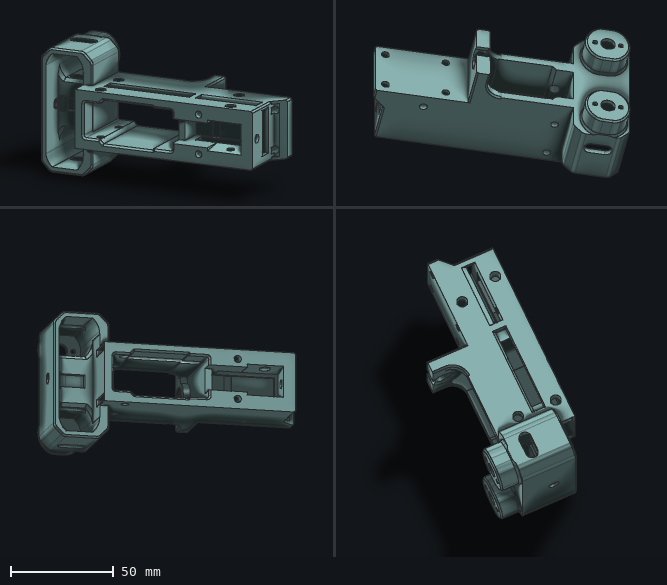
import cadquery as cq
import math

ARM_HALF_Z = 14.8
ARM_START_X = 23.1
ARM_END_X = 118.9
LENGTH = 124.8
HEAD_BACK_Y = 38.7
ARM_BACK_Y = 32.2
LIP_FRONT_Y = 27.3
LIP_ROOT_Y = LIP_FRONT_Y - (LENGTH - ARM_END_X)
EDGE_CHAMFER = 0.9

HOOK_LEFT_X = 72.0
HOOK_RIGHT_X = 78.7
HOOK_BACK_Y = 53.5
HOOK_FILLET = 8.2
HOOK_ROOT_X = HOOK_LEFT_X - HOOK_FILLET
HOOK_HOLE_Y = 47.7
HOOK_HOLE_R = 4.9
HOOK_HOLE_CHAMFER = 1.1
HOOK_MOUTH = 5.6
HOOK_UNDERSIDE_Y = 43.4
HOOK_SADDLE_Y = 44.9
HOOK_SADDLE_R = 7.2

HEAD_WIDTH = 28.0
HEAD_HEIGHT = 62.7
HEAD_FRONT_Y = 9.6
HEAD_CORNER = 5.0
HEAD_CORNER_R = 3.4
HEAD_FLOOR_Y = 23.2

KNOB_X = 12.8
KNOB_Z = 20.7
KNOB_R = 11.1
KNOB_HALF_Z = 10.4
KNOB_BLEND_R = 7.1
KNOB_BACK_Y = 49.4
KNOB_FOOT = 0.7
KNOB_FOOT_HEIGHT = 1.4
POCKET_R = 10.2
POCKET_HALF_X = 10.1
POCKET_HALF_Z = 7.9
POCKET_FLOOR_Y = 47.3
POCKET_BEVEL = 1.7
SHAFT_HOLE_R = 3.5
PIN_HOLE_R = 1.1
PIN_OFFSET = 6.4

RECESS_STEPS = [(3.4, 7.0, 4.0, 1.2), (7.0, 19.0, 3.2, 2.5)]

HEAD_SLOT_X = 13.8
HEAD_SLOT_Y = 29.2
HEAD_SLOT_LENGTH = 13.8
HEAD_SLOT_WIDTH = 6.1
SIDE_HOLE_Y = 21.8
SIDE_BORE_DEPTH = 2.5

WINDOW_LEFT_X = 27.7
WINDOW_STEP_X = (36.3, 38.3)
WINDOW_NARROW_X = 65.0
WINDOW_RIGHT_X = 75.5
WINDOW_END_HALF_Z = 9.0
WINDOW_HALF_Z = 11.0
WINDOW_NARROW_HALF_Z = 10.4
WINDOW_CORNER_R = 1.2
WINDOW_CHAMFER = 1.0

CHANNEL_RIGHT_X = 112.8
CHANNEL_HALF_Z = 6.2
CHANNEL_ROOF_Y = 20.0
CHANNEL_SHELF_X = 78.8
CHANNEL_SHELF_Y = 7.9
CROSS_GROOVE_X = 89.8
CROSS_GROOVE_WIDTH = 3.7
CROSS_GROOVE_DEPTH = 0.6
FLARE_LEFT_X = 94.5
FLARE = 1.5
CAVITY_BOTTOM_Z = -10.4
CAVITY_TOP_Z = 12.7

SLOT_FRONT_Y = 11.1
SLOT_BACK_Y = 18.2
WINDOW_SLOT_X = (33.5, 79.5)
WINDOW_SLOT_SLOPE = 1.7
CAVITY_SLOT_X = (82.8, 115.5)
CAVITY_SLOT_SLOPE = 2.6

SCREW_R = 1.9
CLEARANCE_R = 2.6
BLIND_HOLE_BOTTOM_Z = -11.2
FRONT_HOLE_R = 1.7
FRONT_HOLE_Z = 10.0
LIP_HOLE_X = 119.8
LIP_RECESS_X = 121.8
LIP_RECESS_HALF_Z = 13.3
FRONT_ROW_Y = 5.1
BACK_ROW_Y = 25.2
THROUGH_HOLES = [(34.5, FRONT_ROW_Y), (34.5, BACK_ROW_Y), (99.5, BACK_ROW_Y)]
BLIND_HOLE_X = 104.7
END_HOLE_R = 2.1

STRAP_Z = 12.5
STRAP_THICKNESS = 3.4
STRAP_DEPTH = 2.5
STRAP_FRONT_Y = 1.5
STRAP_BEND_Y = 4.6
STRAP_BACK_Y = 15.8

PICK_MARGIN = 0.1


def box(x0, x1, y0, y1, z0, z1):
    """Box between two opposite corners."""
    return cq.Workplane("XY").box(x1 - x0, y1 - y0, z1 - z0, centered=False).translate((x0, y0, z0))


def front_sketch(y):
    """Sketch plane at a given Y: local axes are X and Z, a negative extrusion runs toward +Y."""
    return cq.Workplane("XZ", origin=(0, y, 0))


def drill_z(x, y, bottom_z):
    """Screw hole along Z: clearance above Z = 0, tapped size from there down to bottom_z."""
    clearance = cq.Workplane("XY").center(x, y).circle(CLEARANCE_R).extrude(ARM_HALF_Z)
    tapped = cq.Workplane("XY").center(x, y).circle(SCREW_R).extrude(bottom_z)
    return clearance.union(tapped)


def flattened_round(y, radius, half_x, half_z, depth):
    """Disc about the Y axis with its sides trimmed, extruded toward +Y."""
    disc = front_sketch(y).circle(radius).extrude(-depth)
    return disc.intersect(box(-half_x, half_x, y, y + depth, -half_z, half_z))


def make_arm():
    """Arm block with its overhanging rear lip, chamfered at both +X ends."""
    profile = [
        (ARM_START_X, 0),
        (ARM_END_X, 0),
        (ARM_END_X, LIP_ROOT_Y),
        (LENGTH, LIP_FRONT_Y),
        (LENGTH, ARM_BACK_Y),
        (HOOK_ROOT_X, ARM_BACK_Y),
        (HOOK_ROOT_X, HEAD_BACK_Y),
        (ARM_START_X, HEAD_BACK_Y),
    ]
    arm = cq.Workplane("XY", origin=(0, 0, -ARM_HALF_Z)).polyline(profile).close().extrude(2 * ARM_HALF_Z)
    for end_x, y in ((ARM_END_X, LIP_ROOT_Y / 2), (LENGTH, (LIP_FRONT_Y + ARM_BACK_Y) / 2)):
        end_edges = cq.selectors.BoxSelector(
            (end_x - PICK_MARGIN, y - PICK_MARGIN, -LENGTH), (end_x + PICK_MARGIN, y + PICK_MARGIN, LENGTH)
        )
        arm = arm.edges("|Y").edges(end_edges).chamfer(EDGE_CHAMFER)
    return arm


def make_hook():
    """Hook with a concave root, chamfered along its upper and lower sides."""
    arc_mid = HOOK_FILLET * math.sqrt(0.5)
    root_y = HEAD_BACK_Y + HOOK_FILLET
    hook = (
        cq.Workplane("XY", origin=(0, 0, -ARM_HALF_Z))
        .moveTo(HOOK_ROOT_X, ARM_BACK_Y)
        .lineTo(HOOK_RIGHT_X, ARM_BACK_Y)
        .lineTo(HOOK_RIGHT_X, HOOK_BACK_Y)
        .lineTo(HOOK_LEFT_X, HOOK_BACK_Y)
        .lineTo(HOOK_LEFT_X, root_y)
        .threePointArc((HOOK_ROOT_X + arc_mid, root_y - arc_mid), (HOOK_ROOT_X, HEAD_BACK_Y))
        .close()
        .extrude(2 * ARM_HALF_Z)
    )
    side_edges = cq.selectors.BoxSelector(
        (HOOK_ROOT_X + PICK_MARGIN, ARM_BACK_Y + PICK_MARGIN, -LENGTH),
        (HOOK_RIGHT_X + PICK_MARGIN, HOOK_BACK_Y - PICK_MARGIN, LENGTH),
    )
    return hook.faces("|Z").edges(side_edges).chamfer(EDGE_CHAMFER)


def make_head():
    """Solid head block with bevelled and rounded upright corners."""
    half_z = HEAD_HEIGHT / 2
    head = box(0, HEAD_WIDTH, HEAD_FRONT_Y, HEAD_BACK_Y, -half_z, half_z)
    head = head.edges("|Y").chamfer(HEAD_CORNER)
    head = head.edges("|Y").fillet(HEAD_CORNER_R)
    return head.faces("<Y").chamfer(EDGE_CHAMFER)


def make_knob(z):
    """Solid knob on a flared foot, which stays within the head's outline."""
    knob = flattened_round(HEAD_BACK_Y, KNOB_R, KNOB_R, KNOB_HALF_Z, KNOB_BACK_Y - HEAD_BACK_Y)
    knob = knob.edges("|Y").fillet(KNOB_BLEND_R)
    foot = knob.faces("<Y").wires().toPending().offset2D(KNOB_FOOT)
    foot_taper = math.degrees(math.atan(KNOB_FOOT / KNOB_FOOT_HEIGHT))
    foot = foot.extrude(-KNOB_FOOT_HEIGHT, taper=foot_taper, combine=False)
    knob = knob.faces(">Y").chamfer(EDGE_CHAMFER)
    half_z = HEAD_HEIGHT / 2
    head_limits = box(0, HEAD_WIDTH, HEAD_BACK_Y, KNOB_BACK_Y, -half_z, half_z)
    return knob.union(foot).translate((KNOB_X, 0, z)).intersect(head_limits)


def head_interior():
    """Tube cavity with rounded ends, running from the open front to the head floor."""
    depth = HEAD_FLOOR_Y - HEAD_FRONT_Y
    wall_x = KNOB_X - POCKET_HALF_X
    cavity = box(wall_x, ARM_START_X, HEAD_FRONT_Y, HEAD_FLOOR_Y, -KNOB_Z, KNOB_Z)
    for z in (-KNOB_Z, KNOB_Z):
        end = flattened_round(HEAD_FRONT_Y, POCKET_R, POCKET_HALF_X, POCKET_HALF_Z, depth)
        cavity = cavity.union(end.translate((KNOB_X, 0, z)))
    for x0, x1, half_z, step_depth in RECESS_STEPS:
        cavity = cavity.union(box(x0, x1, HEAD_FLOOR_Y, HEAD_FLOOR_Y + step_depth, -half_z, half_z))
    return cavity


def knob_hollow(side):
    """Pocket, bevelled mouth and through holes of the knob on the +Z (side = 1) or -Z (side = -1) end."""
    pocket_depth = POCKET_FLOOR_Y - HEAD_FLOOR_Y
    hollow = flattened_round(HEAD_FLOOR_Y, POCKET_R, POCKET_HALF_X, POCKET_HALF_Z, pocket_depth)
    cone = cq.Solid.makeCone(
        POCKET_R + POCKET_BEVEL, POCKET_R, POCKET_BEVEL, cq.Vector(0, HEAD_FLOOR_Y, 0), cq.Vector(0, 1, 0)
    )
    inner_z = -side * POCKET_HALF_Z
    bevel_profile = [
        (HEAD_FLOOR_Y, 0),
        (HEAD_FLOOR_Y, inner_z - side * POCKET_BEVEL),
        (HEAD_FLOOR_Y + POCKET_BEVEL, inner_z),
        (HEAD_FLOOR_Y + POCKET_BEVEL, 0),
    ]
    bevel = cq.Workplane("YZ", origin=(-POCKET_HALF_X, 0, 0)).polyline(bevel_profile).close()
    bevel = bevel.extrude(2 * POCKET_HALF_X).intersect(cq.Workplane(cone))
    holes = (
        front_sketch(HEAD_FLOOR_Y)
        .circle(SHAFT_HOLE_R)
        .pushPoints([(-PIN_OFFSET, 0), (PIN_OFFSET, 0)])
        .circle(PIN_HOLE_R)
        .extrude(HEAD_FLOOR_Y - HOOK_BACK_Y)
    )
    return hollow.union(bevel).union(holes).translate((KNOB_X, 0, side * KNOB_Z))


def head_openings():
    slot = (
        cq.Workplane("XY", origin=(HEAD_SLOT_X, HEAD_SLOT_Y, -HEAD_HEIGHT / 2))
        .slot2D(HEAD_SLOT_LENGTH, HEAD_SLOT_WIDTH)
        .extrude(HEAD_HEIGHT)
    )
    side_wall = KNOB_X - POCKET_HALF_X
    hole = cq.Workplane("YZ").center(SIDE_HOLE_Y, 0).circle(SCREW_R).extrude(side_wall)
    counterbore = cq.Workplane("YZ").center(SIDE_HOLE_Y, 0).circle(CLEARANCE_R).extrude(SIDE_BORE_DEPTH)
    return slot.union(hole).union(counterbore)


def make_window():
    """Window through the arm; behind it the hook keeps a saddle-shaped underside."""
    upper = [
        (WINDOW_LEFT_X, WINDOW_END_HALF_Z),
        (WINDOW_STEP_X[0], WINDOW_END_HALF_Z),
        (WINDOW_STEP_X[1], WINDOW_HALF_Z),
        (WINDOW_NARROW_X, WINDOW_HALF_Z),
        (WINDOW_NARROW_X, WINDOW_NARROW_HALF_Z),
        (WINDOW_RIGHT_X, WINDOW_NARROW_HALF_Z),
    ]
    lower = [(x, -z) for x, z in reversed(upper)]
    window = front_sketch(0).polyline(upper + lower).close().extrude(-HOOK_BACK_Y)
    for end_x in (WINDOW_LEFT_X, WINDOW_RIGHT_X):
        corners = cq.selectors.BoxSelector(
            (end_x - PICK_MARGIN, 0, -LENGTH), (end_x + PICK_MARGIN, LENGTH, LENGTH)
        )
        window = window.edges("|Y").edges(corners).fillet(WINDOW_CORNER_R)
    rim = window.faces("<Y").wires().toPending().offset2D(WINDOW_CHAMFER)
    rim = rim.extrude(-WINDOW_CHAMFER, taper=45, combine=False)
    hook = box(HOOK_LEFT_X, HOOK_RIGHT_X, HOOK_UNDERSIDE_Y, HOOK_BACK_Y, -ARM_HALF_Z, ARM_HALF_Z)
    saddle = (
        cq.Workplane("YZ", origin=(HOOK_LEFT_X, HOOK_SADDLE_Y, 0))
        .circle(HOOK_SADDLE_R)
        .extrude(HOOK_RIGHT_X - HOOK_LEFT_X)
    )
    return window.cut(hook).cut(saddle).union(rim)


def hook_opening():
    """Round hole along X through the hook, chamfered, with a mouth open toward +Y."""
    width = HOOK_RIGHT_X - HOOK_LEFT_X
    hole = cq.Workplane("YZ", origin=(HOOK_LEFT_X, HOOK_HOLE_Y, 0)).circle(HOOK_HOLE_R).extrude(width)
    sink = cq.Solid.makeCone(
        HOOK_HOLE_R + HOOK_HOLE_CHAMFER,
        HOOK_HOLE_R,
        HOOK_HOLE_CHAMFER,
        cq.Vector(HOOK_LEFT_X, HOOK_HOLE_Y, 0),
        cq.Vector(1, 0, 0),
    )
    mouth = box(HOOK_LEFT_X, HOOK_RIGHT_X, HOOK_HOLE_Y, HOOK_BACK_Y, -HOOK_MOUTH / 2, HOOK_MOUTH / 2)
    return hole.union(cq.Workplane(sink)).union(mouth)


def make_channel():
    """Channel in the arm's front, with a shallow shelf at its left and flared walls at its right."""
    half_z = CHANNEL_HALF_Z
    channel = box(CHANNEL_SHELF_X, CHANNEL_RIGHT_X, 0, CHANNEL_ROOF_Y, -half_z, half_z)
    shelf = box(WINDOW_RIGHT_X, CHANNEL_SHELF_X, 0, CHANNEL_SHELF_Y, -half_z, half_z)
    groove = box(
        CROSS_GROOVE_X - CROSS_GROOVE_WIDTH / 2,
        CROSS_GROOVE_X + CROSS_GROOVE_WIDTH / 2,
        CHANNEL_ROOF_Y,
        CHANNEL_ROOF_Y + CROSS_GROOVE_DEPTH,
        -half_z,
        half_z,
    )
    wide = half_z + FLARE
    flare = (
        cq.Workplane("YZ", origin=(FLARE_LEFT_X, 0, 0))
        .polyline([(0, -wide), (0, wide), (SLOT_FRONT_Y, half_z), (SLOT_FRONT_Y, -half_z)])
        .close()
        .extrude(CHANNEL_RIGHT_X - FLARE_LEFT_X)
    )
    return channel.union(shelf).union(groove).union(flare)


def wall_slot(x_range, slope, bottom_z):
    """Slot in the +Z wall whose rear face leans forward by slope on its way down to bottom_z."""
    x0, x1 = x_range
    profile = [
        (SLOT_FRONT_Y, ARM_HALF_Z),
        (SLOT_BACK_Y, ARM_HALF_Z),
        (SLOT_BACK_Y - slope, bottom_z),
        (SLOT_FRONT_Y, bottom_z),
    ]
    return cq.Workplane("YZ", origin=(x0, 0, 0)).polyline(profile).close().extrude(x1 - x0)


def arm_cavity():
    """Hollow behind the channel walls, running out through the arm's +X end."""
    start_x = CAVITY_SLOT_X[0]
    cavity = box(start_x, ARM_END_X, SLOT_FRONT_Y, SLOT_BACK_Y, CAVITY_BOTTOM_Z, CAVITY_TOP_Z)
    lip_recess = box(
        ARM_END_X,
        LIP_RECESS_X,
        LIP_ROOT_Y,
        LIP_ROOT_Y + LIP_RECESS_X - ARM_END_X,
        -LIP_RECESS_HALF_Z,
        LIP_RECESS_HALF_Z,
    )
    return cavity.union(lip_recess)


def screw_holes():
    holes = drill_z(BLIND_HOLE_X, FRONT_ROW_Y, BLIND_HOLE_BOTTOM_Z)
    for x, y in THROUGH_HOLES:
        holes = holes.union(drill_z(x, y, -ARM_HALF_Z))
    for x, radius in ((CROSS_GROOVE_X, FRONT_HOLE_R), (LIP_HOLE_X, SCREW_R)):
        start_y = 0 if x < ARM_END_X else LIP_ROOT_Y
        pair = front_sketch(start_y).pushPoints([(x, -FRONT_HOLE_Z), (x, FRONT_HOLE_Z)])
        holes = holes.union(pair.circle(radius).extrude(start_y - ARM_BACK_Y))
    end_hole = (
        cq.Workplane("YZ", origin=(CHANNEL_RIGHT_X, FRONT_ROW_Y, 0))
        .circle(END_HOLE_R)
        .extrude(ARM_END_X - CHANNEL_RIGHT_X)
    )
    return holes.union(end_hole)


def strap_slot(z):
    """Slot in the arm's left end whose floor starts flat and then curves away from the end face."""
    floor_x = ARM_START_X + STRAP_DEPTH
    bend_r = STRAP_BACK_Y - STRAP_BEND_Y
    arc_mid = bend_r * math.sqrt(0.5)
    return (
        cq.Workplane("XY", origin=(0, 0, z - STRAP_THICKNESS / 2))
        .moveTo(ARM_START_X, STRAP_FRONT_Y)
        .lineTo(floor_x, STRAP_FRONT_Y)
        .lineTo(floor_x, STRAP_BEND_Y)
        .threePointArc(
            (floor_x + bend_r - arc_mid, STRAP_BEND_Y + arc_mid), (floor_x + bend_r, STRAP_BACK_Y)
        )
        .lineTo(ARM_START_X, STRAP_BACK_Y)
        .close()
        .extrude(STRAP_THICKNESS)
    )


head = make_head()
for side in (-1, 1):
    head = head.union(make_knob(side * KNOB_Z))
head = head.cut(head_interior()).cut(head_openings())
for side in (-1, 1):
    head = head.cut(knob_hollow(side))

arm = make_arm().union(make_hook()).cut(make_window()).cut(hook_opening())
arm = arm.cut(make_channel()).cut(arm_cavity())
arm = arm.cut(wall_slot(WINDOW_SLOT_X, WINDOW_SLOT_SLOPE, WINDOW_NARROW_HALF_Z))
arm = arm.cut(wall_slot(CAVITY_SLOT_X, CAVITY_SLOT_SLOPE, CAVITY_TOP_Z))
arm = arm.cut(screw_holes())

body = head.union(arm)
for z in (-STRAP_Z, STRAP_Z):
    body = body.cut(strap_slot(z))

result = body